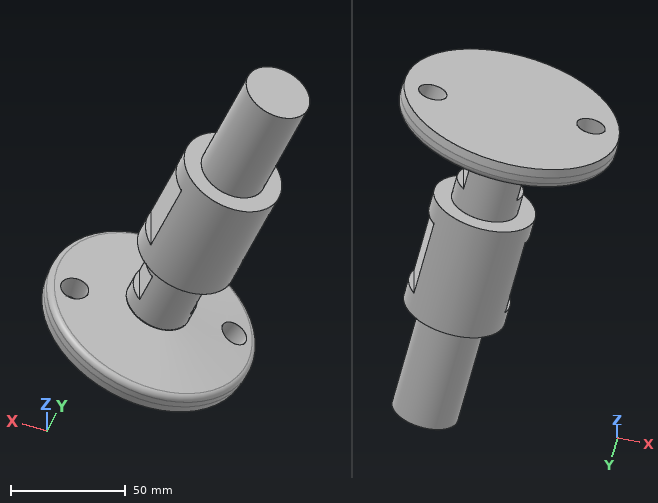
import cadquery as cq
import math


plate_diameter = 97.98
sole_diameter = 97.0
sole_taper_height = 4.0
rim_top = 7.0
rim_fillet = 3.0
cone_angle = math.radians(9.5)

neck_diameter = 29.0
neck_height = 0.4

hole_diameter = 12.5
hole_center_radius = 37.5
hole_cutter_length = 60.0

overall_length = 157.0
spindle_diameter = 30.0
sleeve_diameter = 46.0
sleeve_start = 49.0
sleeve_length = 55.0

spindle_flat_width = 24.0
spindle_flat_start = 24.0
spindle_flat_length = 15.0
sleeve_flat_width = 41.0
sleeve_flat_length = 36.0
sleeve_flat_start = sleeve_start + (sleeve_length - sleeve_flat_length) / 2

plate_radius = plate_diameter / 2
fillet_center_radius = plate_radius - rim_fillet


def fillet_point(angle):
    """Point on the rim fillet, with the angle measured from +Y toward the rim."""
    return (
        fillet_center_radius + rim_fillet * math.sin(angle),
        rim_top + rim_fillet * math.cos(angle),
    )


cone_foot_radius, cone_foot_y = fillet_point(cone_angle)


def cone_height(radius):
    """Y of the cone surface at a given radius."""
    return cone_foot_y + (cone_foot_radius - radius) * math.tan(cone_angle)


cone_top = cone_height(neck_diameter / 2)
spindle_start = cone_top + neck_height


def cylinder_along_y(diameter, start, length):
    """Cylinder on the Y axis, running toward +Y from start."""
    plane = cq.Plane(origin=(0, start, 0), xDir=(1, 0, 0), normal=(0, 1, 0))
    return cq.Workplane(plane).circle(diameter / 2).extrude(length)


def cut_flats(body, body_diameter, width, start, length):
    """Cut two opposite flats, a given width apart, across the X direction."""
    depth = (body_diameter - width) / 2
    for side in (-1, 1):
        cutter = (
            cq.Workplane("XY")
            .box(2 * depth, length, body_diameter)
            .translate((side * (width / 2 + depth), start + length / 2, 0))
        )
        body = body.cut(cutter)
    return body


def make_plate():
    """Round plate with its neck and two tilted fixing holes."""
    fillet_middle = fillet_point((cone_angle + math.pi / 2) / 2)
    plate = (
        cq.Workplane("XY")
        .lineTo(sole_diameter / 2, 0)
        .lineTo(plate_radius, sole_taper_height)
        .lineTo(plate_radius, rim_top)
        .threePointArc(fillet_middle, (cone_foot_radius, cone_foot_y))
        .lineTo(neck_diameter / 2, cone_top)
        .lineTo(neck_diameter / 2, spindle_start)
        .lineTo(0, spindle_start)
        .close()
        .revolve(360, (0, 0, 0), (0, 1, 0))
    )
    for side in (-1, 1):
        axis = (side * math.sin(cone_angle), math.cos(cone_angle), 0)
        center = (side * hole_center_radius, cone_height(hole_center_radius), 0)
        plane = cq.Plane(origin=center, xDir=(0, 0, 1), normal=axis)
        hole = cq.Workplane(plane).circle(hole_diameter / 2).extrude(hole_cutter_length / 2, both=True)
        plate = plate.cut(hole)
    return plate


def make_spindle():
    """Plain spindle with a pair of wrench flats near the plate."""
    spindle = cylinder_along_y(spindle_diameter, spindle_start, overall_length - spindle_start)
    return cut_flats(spindle, spindle_diameter, spindle_flat_width, spindle_flat_start, spindle_flat_length)


def make_foot():
    """Plate and spindle in one piece."""
    return make_plate().union(make_spindle())


def make_sleeve():
    """Tube that fits the spindle, with a pair of wrench flats."""
    sleeve = cylinder_along_y(sleeve_diameter, sleeve_start, sleeve_length)
    bore = cylinder_along_y(spindle_diameter, sleeve_start, sleeve_length)
    sleeve = sleeve.cut(bore)
    return cut_flats(sleeve, sleeve_diameter, sleeve_flat_width, sleeve_flat_start, sleeve_flat_length)


foot = make_foot()
sleeve = make_sleeve()
result = cq.Compound.makeCompound([foot.val(), sleeve.val()])